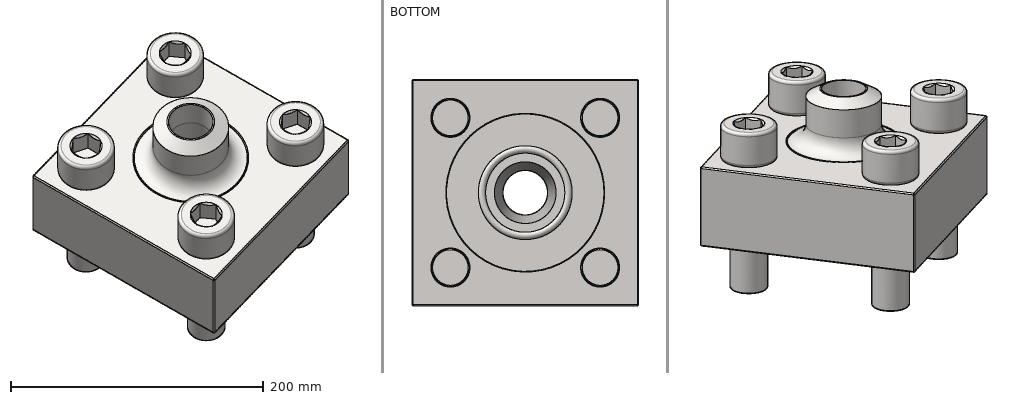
import cadquery as cq
import math

plate_side = 180.0
plate_height = 67.5
plate_chamfer = 1.0
bolt_spacing = 118.8
bolt_hole_diameter = 31.0
plate_bore_diameter = 90.2
plate_bore_chamfer = 0.9
chamfer_angle = 45.0
plate_recess_diameter = 126.0

collar_diameter = 125.0
collar_height = 21.6
collar_protrusion = 2.5
neck_diameter = 89.6
pipe_diameter = 60.3
pipe_bore_diameter = 35.3
pipe_bore_depth = 22.7
port_diameter = 49.0
pipe_top = 45.0
bevel_height = 6.5
bevel_angle = 30.0

groove_outer_diameter = 74.5
groove_inner_diameter = 62.8
seal_protrusion = 0.7

shank_diameter = 30.0
bolt_tip_chamfer = 0.9
head_diameter = 45.0
head_height = 29.9
head_fillet = 2.7
socket_sides = 6
socket_corner_diameter = 25.4
socket_depth = 18.0
bolt_reach = 110.0
quarter_turn = 90.0

plate_bottom = -plate_height
collar_bottom = plate_bottom - collar_protrusion
collar_top = plate_bottom + collar_height
seal_section_diameter = (groove_outer_diameter - groove_inner_diameter) / 2
seal_centre_radius = (groove_outer_diameter + groove_inner_diameter) / 4
groove_top = collar_bottom - seal_protrusion + seal_section_diameter
seal_centre_z = groove_top - seal_section_diameter / 2


def bolt_centres():
    """Bolt centres in turning order, starting at the (+X, +Y) corner."""
    offset = bolt_spacing / 2
    return [(offset, offset), (-offset, offset), (-offset, -offset), (offset, -offset)]


def cylinder(diameter, bottom, top):
    """Upright cylinder on the Z axis between two heights."""
    return cq.Workplane("XY", origin=(0, 0, bottom)).circle(diameter / 2).extrude(top - bottom)


def make_plate():
    """Square flange with four bolt holes and a stepped bore for the nipple."""
    block = cq.Workplane("XY", origin=(0, 0, plate_bottom)).rect(plate_side, plate_side)
    block = block.extrude(plate_height).edges().chamfer(plate_chamfer)
    bolt_holes = (
        cq.Workplane("XY", origin=(0, 0, plate_bottom))
        .pushPoints(bolt_centres())
        .circle(bolt_hole_diameter / 2)
        .extrude(plate_height)
    )
    bore = cylinder(plate_bore_diameter, plate_bottom, 0)
    bore_mouth = cq.Workplane("XY").circle(plate_bore_diameter / 2 + plate_bore_chamfer)
    bore_mouth = bore_mouth.extrude(-plate_bore_chamfer, taper=chamfer_angle)
    recess = cylinder(plate_recess_diameter, plate_bottom, collar_top)
    return block.cut(bolt_holes).cut(bore).cut(bore_mouth).cut(recess)


def make_nipple():
    """Weld nipple with a collar, a flared neck, a bevelled end and a bore widening towards the collar."""
    bore_radius = pipe_bore_diameter / 2
    pipe_radius = pipe_diameter / 2
    neck_radius = neck_diameter / 2
    collar_radius = collar_diameter / 2
    flare_radius = neck_radius - pipe_radius
    tip_radius = pipe_radius - bevel_height / math.tan(math.radians(bevel_angle))
    flare_offset = flare_radius * (1 - math.sqrt(0.5))
    body = (
        cq.Workplane("XZ")
        .moveTo(port_diameter / 2, collar_bottom)
        .lineTo(collar_radius, collar_bottom)
        .lineTo(collar_radius, collar_top)
        .lineTo(neck_radius, collar_top)
        .lineTo(neck_radius, 0)
        .threePointArc((pipe_radius + flare_offset, flare_offset), (pipe_radius, flare_radius))
        .lineTo(pipe_radius, pipe_top - bevel_height)
        .lineTo(tip_radius, pipe_top)
        .lineTo(bore_radius, pipe_top)
        .lineTo(bore_radius, pipe_top - pipe_bore_depth)
        .close()
        .revolve(360, (0, 0, 0), (0, 1, 0))
    )
    groove = cylinder(groove_outer_diameter, collar_bottom, groove_top).cut(
        cylinder(groove_inner_diameter, collar_bottom, groove_top)
    )
    return body.cut(groove)


def make_seal():
    """Round-section ring standing slightly proud of the collar face."""
    section = cq.Workplane("XZ").center(seal_centre_radius, seal_centre_z)
    return section.circle(seal_section_diameter / 2).revolve(
        360, (-seal_centre_radius, 0, 0), (-seal_centre_radius, 1, 0)
    )


def make_bolt():
    """Socket head bolt on the Z axis with its head seated at Z = 0."""
    head = cylinder(head_diameter, 0, head_height)
    head = head.edges("%CIRCLE").fillet(head_fillet)
    shank = cylinder(shank_diameter, -bolt_reach, 0).faces("<Z").edges().chamfer(bolt_tip_chamfer)
    head_top = cq.Workplane("XY", origin=(0, 0, head_height))
    socket = head_top.polygon(socket_sides, socket_corner_diameter).extrude(-socket_depth)
    flat_radius = socket_corner_diameter / 2 * math.cos(math.pi / socket_sides)
    lead_in_width = socket_corner_diameter / 2 - flat_radius
    lead_in_depth = lead_in_width / math.tan(math.radians(chamfer_angle))
    lead_in = head_top.circle(socket_corner_diameter / 2).extrude(-lead_in_depth, taper=chamfer_angle)
    return head.union(shank).cut(socket).cut(lead_in)


plate = make_plate()
nipple = make_nipple()
seal = make_seal()

bolt = make_bolt()
bolts = []
for index, (x, y) in enumerate(bolt_centres()):
    turned_bolt = bolt.rotate((0, 0, 0), (0, 0, 1), quarter_turn * index)
    bolts.append(turned_bolt.translate((x, y, 0)).val())

result = cq.Compound.makeCompound([plate.val(), nipple.val(), seal.val(), *bolts])